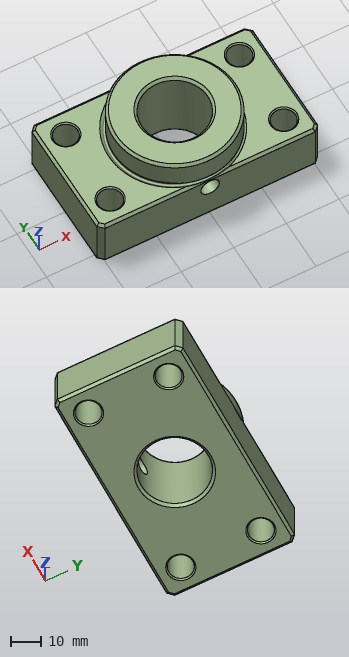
import cadquery as cq
import math

plate_length = 84.0
plate_width = 48.0
plate_height = 20.0
corner_chamfer = 2.0
edge_chamfer = 1.0

total_height = 30.0
boss_diameter = 46.0
bore_diameter = 25.0

relief_diameter = 48.7
relief_wall_width = 1.1
relief_round = 0.5

mount_spacing_x = 66.0
mount_spacing_y = 30.0
mount_diameter = 9.0
mount_chamfer = 0.5

cross_hole_diameter = 7.0
cross_hole_height = 15.0


def through_hole(diameter, height, chamfer):
    """Vertical hole from z = 0 to the given height, chamfered at both mouths."""
    radius = diameter / 2
    mouth_radius = radius + chamfer
    profile = [
        (0, 0),
        (mouth_radius, 0),
        (radius, chamfer),
        (radius, height - chamfer),
        (mouth_radius, height),
        (0, height),
    ]
    return cq.Workplane("XZ").polyline(profile).close().revolve(360, (0, 0), (0, 1))


def make_plate():
    """Rectangular plate with bevelled corners, top edges and bottom edges."""
    block = cq.Workplane("XY").box(plate_length, plate_width, plate_height)
    block = block.translate((0, 0, plate_height / 2))
    block = block.edges("|Z").chamfer(corner_chamfer)
    return block.faces("<Z or >Z").chamfer(edge_chamfer)


def make_boss():
    """Round boss, rooted inside the plate."""
    boss = cq.Workplane("XY").workplane(offset=edge_chamfer)
    boss = boss.circle(boss_diameter / 2).extrude(total_height - edge_chamfer)
    return boss.faces(">Z").chamfer(edge_chamfer)


def make_relief():
    """Groove undercutting the boss foot: 45 degree outer wall, round bottom, upright inner wall."""
    rim_radius = relief_diameter / 2
    toe_radius = rim_radius - relief_wall_width
    toe_height = plate_height - relief_wall_width
    diagonal = relief_round * math.cos(math.radians(45))
    centre_radius = toe_radius - diagonal
    centre_height = toe_height + diagonal
    inner_radius = centre_radius - relief_round
    groove = (
        cq.Workplane("XZ")
        .moveTo(inner_radius, plate_height)
        .lineTo(rim_radius, plate_height)
        .lineTo(toe_radius, toe_height)
        .threePointArc((centre_radius, centre_height - relief_round), (inner_radius, centre_height))
        .close()
        .revolve(360, (0, 0), (0, 1))
    )
    return groove.translate((inner_radius - boss_diameter / 2, 0, 0))


def make_cross_hole():
    """Radial hole running along Y from the front face to the bore axis."""
    drill = cq.Workplane("XZ").center(0, cross_hole_height).circle(cross_hole_diameter / 2)
    return drill.extrude(plate_width / 2)


result = make_plate().union(make_boss()).cut(make_relief())
result = result.cut(through_hole(bore_diameter, total_height, edge_chamfer))
for x_side in (-1, 1):
    for y_side in (-1, 1):
        mount_hole = through_hole(mount_diameter, plate_height, mount_chamfer)
        mount_position = (x_side * mount_spacing_x / 2, y_side * mount_spacing_y / 2, 0)
        result = result.cut(mount_hole.translate(mount_position))
result = result.cut(make_cross_hole())